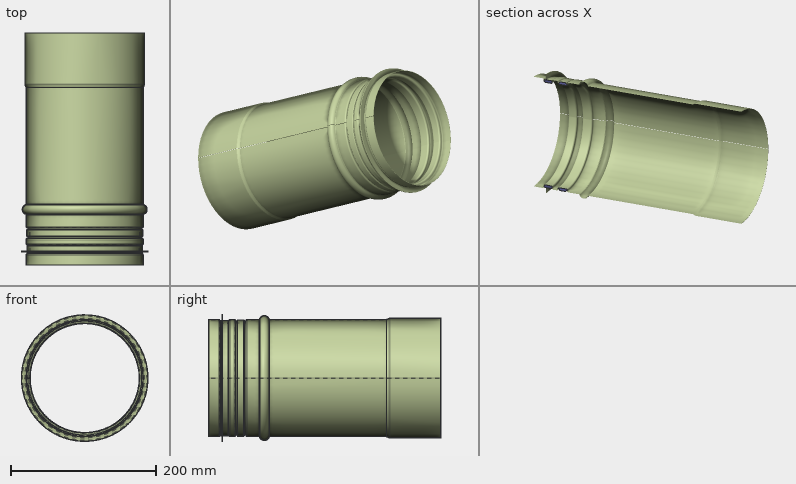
import cadquery as cq
import math


length = 320.0
wall = 0.48
pipe_radius = 161.5 / 2
spigot_end = -length / 2
socket_end = length / 2

socket_radius = 165.0 / 2
socket_length = 70.5
socket_taper = 4.8
socket_edge_length = 0.8
socket_edge_drop = 0.15

bead_center = spigot_end + 76.8
bead_width = 13.0
bead_radius = 172.0 / 2
bead_foot = 0.8

bend = 2.2
inner_bend = bend - wall
band_groove_center = spigot_end + 44.0
band_groove_width = 18.5
band_groove_floor = 76.0
lip_groove_center = spigot_end + 21.8
lip_groove_width = 16.5
lip_groove_floor = 75.5

seal_shoulder = pipe_radius - bend
band_crown_radius = 160.5 / 2
band_crown_width = 10.2
band_crown_chamfer = 1.0
lip_crown_radius = 159.5 / 2
lip_crown_width = lip_groove_width - 2 * bend
lip_crown_chamfer = lip_crown_radius - seal_shoulder

lip_radius = 174.7 / 2
lip_thickness = 1.0
lip_center = spigot_end + 19.0

seam_gap = 0.5


def revolve(profile):
    """Turn a closed XY profile a full turn about the Y axis."""
    return profile.close().revolve(360, (0, 0, 0), (0, 1, 0))


def add_groove(profile, center, width, floor, inset):
    """Draw one groove towards +Y; inset is how far the surface lies inside the outer skin of the wall."""
    rim = pipe_radius - inset
    bottom = floor - inset
    rim_bend = bend - inset
    floor_bend = inner_bend + inset
    wall_half = width / 2 - bend + inset
    rim_half = wall_half + rim_bend
    floor_half = wall_half - floor_bend
    rim_sag = rim_bend * (1 - math.sqrt(0.5))
    floor_sag = floor_bend * (1 - math.sqrt(0.5))
    return (
        profile.lineTo(rim, center - rim_half)
        .threePointArc((rim - rim_sag, center - wall_half - rim_sag), (rim - rim_bend, center - wall_half))
        .lineTo(bottom + floor_bend, center - wall_half)
        .threePointArc((bottom + floor_sag, center - wall_half + floor_sag), (bottom, center - floor_half))
        .lineTo(bottom, center + floor_half)
        .threePointArc(
            (bottom + floor_sag, center + wall_half - floor_sag), (bottom + floor_bend, center + wall_half)
        )
        .lineTo(rim - rim_bend, center + wall_half)
        .threePointArc((rim - rim_sag, center + wall_half + rim_sag), (rim, center + rim_half))
    )


def skin(inset):
    """Solid bounded by the outer skin of the pipe, moved inwards by inset."""
    rim = pipe_radius - inset
    half_bead = bead_width / 2 - inset
    foot = rim + bead_foot
    socket_start = socket_end - socket_length
    socket_rim = socket_radius - inset
    profile = cq.Workplane("XY").moveTo(0, spigot_end).lineTo(rim, spigot_end)
    profile = add_groove(profile, lip_groove_center, lip_groove_width, lip_groove_floor, inset)
    profile = add_groove(profile, band_groove_center, band_groove_width, band_groove_floor, inset)
    return revolve(
        profile.lineTo(rim, bead_center - half_bead - bead_foot)
        .lineTo(foot, bead_center - half_bead)
        .threePointArc((bead_radius - inset, bead_center), (foot, bead_center + half_bead))
        .lineTo(rim, bead_center + half_bead + bead_foot)
        .lineTo(rim, socket_start - socket_taper)
        .lineTo(socket_rim - socket_edge_drop, socket_start - socket_edge_length)
        .lineTo(socket_rim, socket_start)
        .lineTo(socket_rim, socket_end)
        .lineTo(0, socket_end)
    )


def make_pipe():
    """Thin wall between two skins, open along the seam."""
    seam = cq.Workplane("XY").box(socket_end, length, seam_gap).translate((-socket_end / 2, 0, 0))
    return skin(0).cut(skin(wall)).cut(seam)


def ring(center, width, inner_radius, outer_radius):
    """Plain ring of rectangular section about the Y axis."""
    start = cq.Workplane("XZ", origin=(0, center + width / 2, 0))
    return start.circle(outer_radius).circle(inner_radius).extrude(width)


def seal_ring(center, groove_width, floor, crown_radius, crown_width, chamfer):
    """Ring that fills a groove between its walls and rises to a chamfered crown."""
    base_width = groove_width - 2 * bend
    base = ring(center, base_width, floor, seal_shoulder)
    base = base.edges(cq.selectors.RadiusNthSelector(0)).fillet(inner_bend)
    crown = ring(center, crown_width, floor + inner_bend, crown_radius)
    crown = crown.edges(cq.selectors.RadiusNthSelector(-1)).chamfer(chamfer)
    return base.union(crown)


def make_band_seal():
    """Plain seal in the groove farther from the spigot end."""
    return seal_ring(
        band_groove_center,
        band_groove_width,
        band_groove_floor,
        band_crown_radius,
        band_crown_width,
        band_crown_chamfer,
    )


def make_lip_seal():
    """Seal in the groove nearer the spigot end, with the sealing lip around it."""
    body = seal_ring(
        lip_groove_center,
        lip_groove_width,
        lip_groove_floor,
        lip_crown_radius,
        lip_crown_width,
        lip_crown_chamfer,
    )
    return body.union(ring(lip_center, lip_thickness, seal_shoulder, lip_radius))


pipe = make_pipe()
band_seal = make_band_seal()
lip_seal = make_lip_seal()

result = cq.Compound.makeCompound([pipe.val(), band_seal.val(), lip_seal.val()])